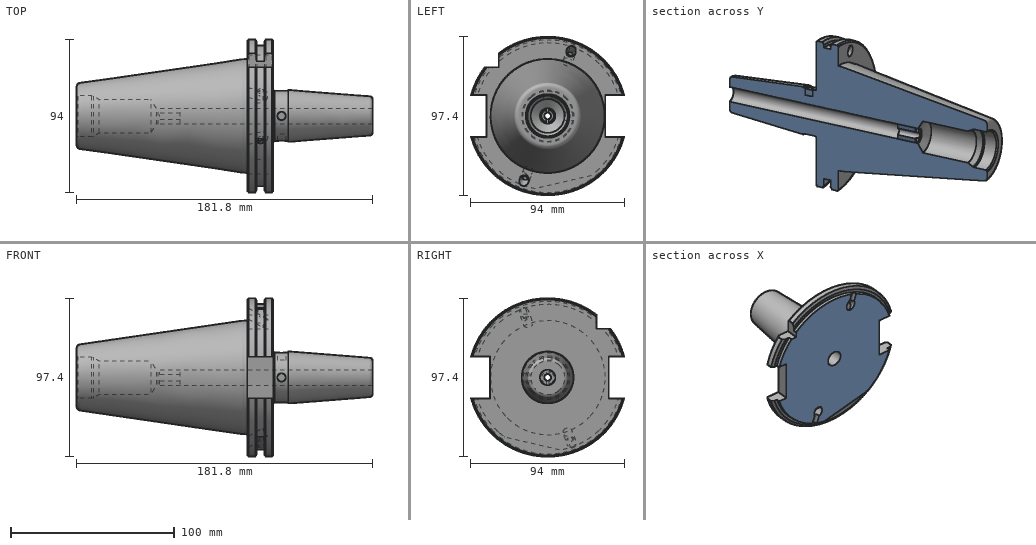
import cadquery as cq
import math

OVERALL_LENGTH = 181.8
GAUGE_X = 101.8
NECK_FLARE_X = 102.9
NECK_LAND_X = 104.3
FLANGE_X = 104.9
FLANGE_END_X = 120.7
COLLAR_X = 129.8

TAPER_RATIO = 7 / 24
GAUGE_RADIUS = 34.9
TAPER_END_RADIUS = GAUGE_RADIUS - GAUGE_X * TAPER_RATIO / 2
TAPER_END_FILLET = 2.9
NECK_LAND_RADIUS = 35.0

FLANGE_RADIUS = 48.7
FLANGE_CHAMFER = 0.9
GROOVE_X = 112.9
GROOVE_FLOOR_RADIUS = 45.0
GROOVE_FLOOR_WIDTH = 4.4
GROOVE_RIM_WIDTH = 6.5
GROOVE_FLANK_DEPTH = 1.8
FLOOR_FLAT_DISTANCE = 41.5
FLOOR_FLAT_ANGLE = 13.0

KEYWAY_WIDTH = 25.6
KEYWAY_FRONT_Y = -35.5
KEYWAY_BACK_Y = 37.6
CORNER_NOTCH = 30.0

NOSE_NECK_RADIUS = 15.5
NOSE_FLARE_LENGTH = 0.9
NOSE_FLARE_RISE = 0.4
COLLAR_RADIUS = 16.0
COLLAR_LENGTH = 1.0
NOSE_TIP_RADIUS = 12.0
NOSE_TIP_FILLET = 2.2

RECESS_RADIUS = 12.5
RECESS_CHAMFER = 0.9
RECESS_DEPTH = 9.0
LEAD_IN_RADIUS = 12.4
LEAD_IN_X = 10.2
STUD_HOLE_RADIUS = 10.4
LEAD_IN_HALF_ANGLE = 30.0
STUD_HOLE_END_X = 45.5
DRILL_HALF_ANGLE = 59.0

SCREW_RADIUS = 4.7
SCREW_LENGTH = 14.5
SCREW_CHAMFER = 0.9
SCREW_HOLE_RADIUS = 2.0
SCREW_SLOT_WIDTH = 1.6
SCREW_SLOT_DEPTH = 1.8

COOLANT_TURN = 20.0
COOLANT_MOUTH_RADIUS = 42.2
COOLANT_RADIUS = 2.9
COOLANT_SLOPE = 32.0
COOLANT_DEPTH = 12.7
CROSS_HOLE_RADIUS = 1.6
CROSS_HOLE_DEPTH = 6.5

PLUG_X = 125.8
PLUG_RADIUS = 2.5
PLUG_LENGTH = 4.2
PLUG_OUTER_RADIUS = 15.0
PLUG_DIRECTIONS = [(0, -1, 0), (0, 0, 1)]

CLEARANCE = 1.8
SLOPED_CLEARANCE = 3.6

SCREW_X = STUD_HOLE_END_X + (STUD_HOLE_RADIUS - SCREW_RADIUS) / math.tan(math.radians(DRILL_HALF_ANGLE))


def revolved(points):
    """Solid of revolution about X from (x, radius) points."""
    return cq.Workplane("XZ").polyline(points).close().revolve(360, (0, 0), (1, 0))


def cylinder(start, direction, radius, length):
    return cq.Workplane(obj=cq.Solid.makeCylinder(radius, length, cq.Vector(*start), cq.Vector(*direction)))


def block(x_range, y_range, z_range):
    """Box between the given pairs of limits."""
    lows, highs = zip(x_range, y_range, z_range)
    sizes = [high - low for low, high in zip(lows, highs)]
    return cq.Workplane("XY").box(*sizes, centered=False).translate(lows)


def taper_and_neck():
    profile = [
        (0, 0),
        (0, TAPER_END_RADIUS),
        (GAUGE_X, GAUGE_RADIUS),
        (NECK_FLARE_X, GAUGE_RADIUS),
        (NECK_LAND_X, NECK_LAND_RADIUS),
        (FLANGE_X, NECK_LAND_RADIUS),
        (FLANGE_X, 0),
    ]
    return revolved(profile).faces("<X").edges().fillet(TAPER_END_FILLET)


def groove():
    """Ring cutter with straight walls and flanks that widen at the rim."""
    floor_half = GROOVE_FLOOR_WIDTH / 2
    rim_half = GROOVE_RIM_WIDTH / 2
    wall_radius = FLANGE_RADIUS - GROOVE_FLANK_DEPTH
    return revolved([
        (GROOVE_X - floor_half, GROOVE_FLOOR_RADIUS),
        (GROOVE_X - floor_half, wall_radius),
        (GROOVE_X - rim_half, FLANGE_RADIUS),
        (GROOVE_X + rim_half, FLANGE_RADIUS),
        (GROOVE_X + floor_half, wall_radius),
        (GROOVE_X + floor_half, GROOVE_FLOOR_RADIUS),
    ])


def groove_floor_flat():
    """Cutter for the flat on the groove floor, as wide as the floor and turned from -Z toward -Y."""
    half_chord = math.sqrt(GROOVE_FLOOR_RADIUS ** 2 - FLOOR_FLAT_DISTANCE ** 2)
    flat = block(
        (GROOVE_X - GROOVE_FLOOR_WIDTH / 2, GROOVE_X + GROOVE_FLOOR_WIDTH / 2),
        (-half_chord, half_chord),
        (-GROOVE_FLOOR_RADIUS, -FLOOR_FLAT_DISTANCE),
    )
    return flat.rotate((0, 0, 0), (1, 0, 0), -FLOOR_FLAT_ANGLE)


def rim_cuts():
    """Two keyways across the rim and the square notch at the +Y +Z corner."""
    width = (FLANGE_X, FLANGE_END_X)
    beyond = FLANGE_RADIUS + CLEARANCE
    keyway_z = (-KEYWAY_WIDTH / 2, KEYWAY_WIDTH / 2)
    return [
        block(width, (-beyond, KEYWAY_FRONT_Y), keyway_z),
        block(width, (KEYWAY_BACK_Y, beyond), keyway_z),
        block(width, (CORNER_NOTCH, beyond), (CORNER_NOTCH, beyond)),
    ]


def flange():
    disc = revolved([
        (FLANGE_X, 0),
        (FLANGE_X, FLANGE_RADIUS),
        (FLANGE_END_X, FLANGE_RADIUS),
        (FLANGE_END_X, 0),
    ]).edges().chamfer(FLANGE_CHAMFER)
    disc = disc.cut(groove()).cut(groove_floor_flat())
    for cutter in rim_cuts():
        disc = disc.cut(cutter)
    return disc


def nose():
    profile = [
        (FLANGE_END_X, 0),
        (FLANGE_END_X, NOSE_NECK_RADIUS + NOSE_FLARE_RISE),
        (FLANGE_END_X + NOSE_FLARE_LENGTH, NOSE_NECK_RADIUS),
        (COLLAR_X, NOSE_NECK_RADIUS),
        (COLLAR_X, COLLAR_RADIUS),
        (COLLAR_X + COLLAR_LENGTH, COLLAR_RADIUS),
        (OVERALL_LENGTH, NOSE_TIP_RADIUS),
        (OVERALL_LENGTH, 0),
    ]
    return revolved(profile).faces(">X").edges().fillet(NOSE_TIP_FILLET)


def central_bore():
    """Recess, stud hole with its drill point, and the screw bore that runs on through the nose."""
    lead_in_length = (LEAD_IN_RADIUS - STUD_HOLE_RADIUS) / math.tan(math.radians(LEAD_IN_HALF_ANGLE))
    return revolved([
        (0, 0),
        (0, RECESS_RADIUS + RECESS_CHAMFER),
        (RECESS_CHAMFER, RECESS_RADIUS),
        (RECESS_DEPTH, RECESS_RADIUS),
        (RECESS_DEPTH, LEAD_IN_RADIUS),
        (LEAD_IN_X, LEAD_IN_RADIUS),
        (LEAD_IN_X + lead_in_length, STUD_HOLE_RADIUS),
        (STUD_HOLE_END_X, STUD_HOLE_RADIUS),
        (SCREW_X, SCREW_RADIUS),
        (OVERALL_LENGTH, SCREW_RADIUS),
        (OVERALL_LENGTH, 0),
    ])


def coolant_passage(turn):
    """Sloped hole from the flange face with a radial cross hole from the groove, turned about X."""
    slope = math.radians(COOLANT_SLOPE)
    inward = (math.cos(slope), 0, -math.sin(slope))
    start = (
        FLANGE_X - SLOPED_CLEARANCE * inward[0],
        0,
        COOLANT_MOUTH_RADIUS - SLOPED_CLEARANCE * inward[2],
    )
    sloped = cylinder(start, inward, COOLANT_RADIUS, COOLANT_DEPTH + SLOPED_CLEARANCE)
    cross_start = (GROOVE_X, 0, GROOVE_FLOOR_RADIUS + CLEARANCE)
    cross = cylinder(cross_start, (0, 0, -1), CROSS_HOLE_RADIUS, CROSS_HOLE_DEPTH + CLEARANCE)
    return sloped.union(cross).rotate((0, 0, 0), (1, 0, 0), turn)


def nose_plug(direction, length):
    """Radial cylinder of the given length on the seat of a plug hole."""
    seat_radius = PLUG_OUTER_RADIUS - PLUG_LENGTH
    seat = (PLUG_X, seat_radius * direction[1], seat_radius * direction[2])
    return cylinder(seat, direction, PLUG_RADIUS, length)


def make_holder():
    holder = taper_and_neck().union(flange()).union(nose()).cut(central_bore())
    for turn in (COOLANT_TURN, COOLANT_TURN + 180):
        holder = holder.cut(coolant_passage(turn))
    for direction in PLUG_DIRECTIONS:
        holder = holder.cut(nose_plug(direction, PLUG_LENGTH + CLEARANCE))
    return holder


def make_stop_screw():
    """Slotted hollow screw that fills the mouth of the screw bore."""
    screw = cq.Workplane("YZ", origin=(SCREW_X, 0, 0)).circle(SCREW_RADIUS).extrude(SCREW_LENGTH)
    screw = screw.faces("<X").edges().chamfer(SCREW_CHAMFER)
    screw = screw.cut(cylinder((SCREW_X, 0, 0), (1, 0, 0), SCREW_HOLE_RADIUS, SCREW_LENGTH))
    slot = block(
        (SCREW_X, SCREW_X + SCREW_SLOT_DEPTH),
        (-SCREW_SLOT_WIDTH / 2, SCREW_SLOT_WIDTH / 2),
        (-SCREW_RADIUS, SCREW_RADIUS),
    )
    return screw.cut(slot)


holder = make_holder()
stop_screw = make_stop_screw()
nose_plugs = [nose_plug(direction, PLUG_LENGTH) for direction in PLUG_DIRECTIONS]

result = cq.Compound.makeCompound([
    holder.val(),
    stop_screw.val(),
    *[plug.val() for plug in nose_plugs],
])